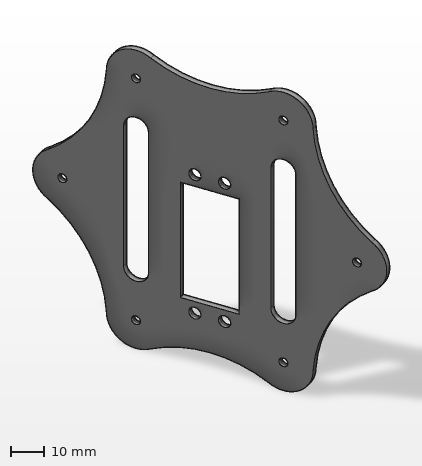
import cadquery as cq
import math

overall_width = 120.0
thickness = 2.0
lobe_radius = 10.1
lobe_circle_radius = overall_width / 2 - lobe_radius
lobe_count = 6
lobe_step = 360 / lobe_count
lobe_half_angle = 60.0
waist_radius = 47.3

lobe_hole_diameter = 3.0

slot_width = 8.4
slot_length = 58.5
slot_offset = lobe_circle_radius / 2

window_width = 19.9
window_height = 41.2
window_center_z = -10.0
screw_hole_diameter = 4.1
screw_spacing_x = 10.1
screw_spacing_z = 49.5


def polar(radius, angle, center=(0, 0)):
    """Point at a radius and an angle in degrees about a center."""
    a = math.radians(angle)
    return (center[0] + radius * math.cos(a), center[1] + radius * math.sin(a))


def make_plate():
    first_lobe = polar(lobe_circle_radius, 0)
    outline = cq.Workplane("XZ").moveTo(*polar(lobe_radius, -lobe_half_angle, first_lobe))
    for i in range(lobe_count):
        angle = i * lobe_step
        lobe = polar(lobe_circle_radius, angle)
        next_angle = angle + lobe_step
        next_lobe = polar(lobe_circle_radius, next_angle)
        lobe_tip = polar(lobe_radius, angle, lobe)
        lobe_end = polar(lobe_radius, angle + lobe_half_angle, lobe)
        waist = polar(waist_radius, angle + lobe_step / 2)
        next_start = polar(lobe_radius, next_angle - lobe_half_angle, next_lobe)
        outline = outline.threePointArc(lobe_tip, lobe_end).threePointArc(waist, next_start)
    return outline.close().extrude(thickness / 2, both=True)


def make_cutouts():
    depth = thickness
    plane = cq.Workplane("XZ")
    lobe_holes = (
        plane.polarArray(lobe_circle_radius, 0, 360, lobe_count)
        .circle(lobe_hole_diameter / 2)
        .extrude(depth, both=True)
    )
    slots = (
        plane.pushPoints([(-slot_offset, 0), (slot_offset, 0)])
        .slot2D(slot_length, slot_width, 90)
        .extrude(depth, both=True)
    )
    window_plane = plane.center(0, window_center_z)
    window = window_plane.rect(window_width, window_height).extrude(depth, both=True)
    screw_holes = (
        window_plane.rarray(screw_spacing_x, screw_spacing_z, 2, 2)
        .circle(screw_hole_diameter / 2)
        .extrude(depth, both=True)
    )
    return [lobe_holes, slots, window, screw_holes]


result = make_plate()
for cutout in make_cutouts():
    result = result.cut(cutout)